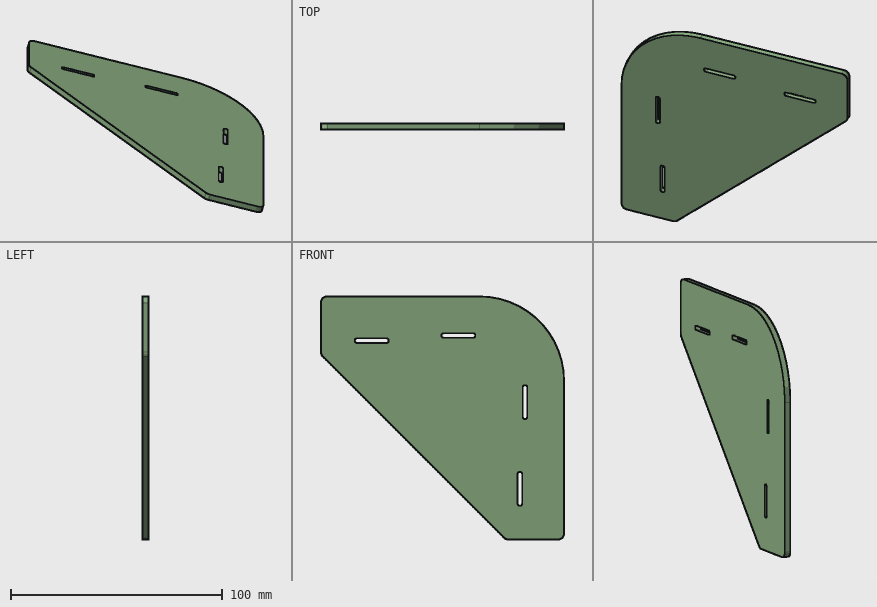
import cadquery as cq

side = 115.0
thickness = 3.0
end_width = 27.5
outer_radius = 40.0
corner_radius = 3.0

slot_length = 16.0
slot_width = 2.1
slot_places = [(50.0, 18.5), (91.0, 20.9)]


def plate():
    outline = [
        (0, side),
        (side, side),
        (side, 0),
        (side - end_width, 0),
        (0, side - end_width),
    ]
    return cq.Workplane("XZ").polyline(outline).close().extrude(-thickness)


def round_corner(body, x, z, radius):
    edge = cq.selectors.NearestToPointSelector((x, thickness / 2, z))
    return body.edges("|Y").edges(edge).fillet(radius)


def slot(x, z, angle):
    return (
        cq.Workplane("XZ")
        .center(x, z)
        .slot2D(slot_length, slot_width, angle)
        .extrude(-thickness)
    )


result = plate()
result = round_corner(result, side, side, outer_radius)
end_corners = [
    (0, side),
    (0, side - end_width),
    (side, 0),
    (side - end_width, 0),
]
for x, z in end_corners:
    result = round_corner(result, x, z, corner_radius)

for along, inset in slot_places:
    result = result.cut(slot(side - along, side - inset, 0))
    result = result.cut(slot(side - inset, side - along, 90))